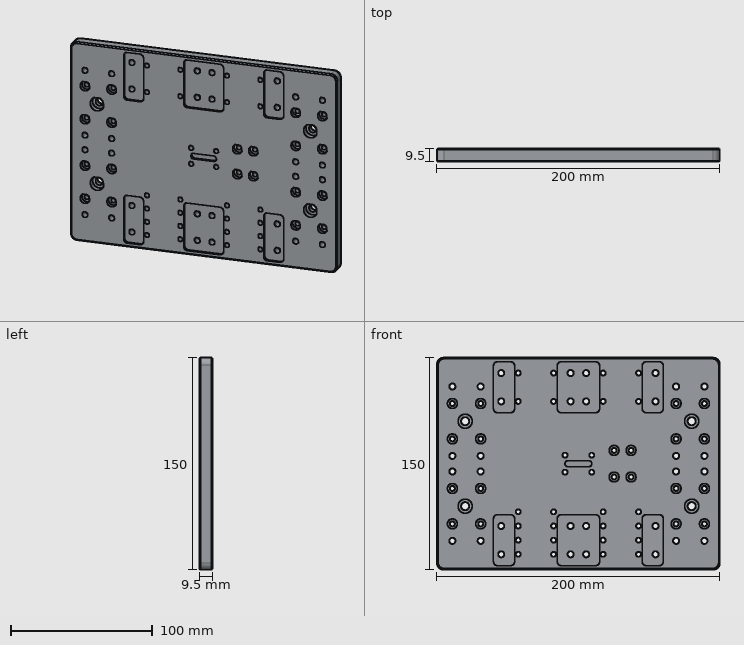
import cadquery as cq

length = 200.0
thickness = 9.5
height = 150.0
corner_radius = 5.0
edge_chamfer = 1.0

small_hole = 3.5
medium_hole = 4.2
mount_hole = 5.5
screw_head = 7.0
mount_head = 10.0
screw_head_depth = 3.5
mount_head_depth = 5.0

pocket_height = 36.0
pocket_center_z = 54.0
pocket_radius = 3.0
pocket_depth = 2.0
center_pocket_width = 30.0
side_pocket_width = 15.0
side_pocket_inner_x = 45.0
side_pocket_x = side_pocket_inner_x + side_pocket_width / 2

slot_length = 19.0
slot_width = 4.2
slot_depth = 2.0
slot_hole_x = 9.5
slot_hole_z = 6.0

inner_pair = 11.0
middle_pair = 35.0
wide_pair = 85.0
outer_pair = 109.0

outer_column_x = 89.0
inner_column_x = 69.0
mount_x = 80.0
side_pocket_hole_x = outer_pair / 2
center_pocket_hole_x = inner_pair / 2
inner_row_x = middle_pair / 2
outer_row_x = wide_pair / 2

mount_z = 30.0
column_hole_z = (inner_pair / 2, outer_pair / 2)
column_screw_z = (middle_pair / 2, wide_pair / 2)
pocket_hole_z = (44.0, 64.0)
row_pitch = 10.0
lower_row_count = 4

cluster_x = (25.2, 37.2)
cluster_z = 9.5


def mirrored(values):
    """Each distance on both sides of zero."""
    return [side * value for value in values for side in (-1, 1)]


def grid(x_values, z_values):
    """Every combination of the given columns and rows."""
    return [(x, z) for x in x_values for z in z_values]


front = cq.Workplane("XZ").workplane(offset=thickness / 2)


def holes(diameter, points, depth=thickness):
    """Cylinders running back from the front face; right through the plate by default."""
    return front.pushPoints(points).circle(diameter / 2).extrude(-depth)


def pocket(width, x, z):
    block = front.center(x, z).rect(width, pocket_height).extrude(-pocket_depth)
    return block.edges("|Y").fillet(pocket_radius)


plate = (
    front.rect(length, height)
    .extrude(-thickness)
    .edges("|Y")
    .fillet(corner_radius)
    .faces("<Y or >Y")
    .chamfer(edge_chamfer)
)

for z in mirrored([pocket_center_z]):
    plate = plate.cut(pocket(center_pocket_width, 0, z))
    for x in mirrored([side_pocket_x]):
        plate = plate.cut(pocket(side_pocket_width, x, z))
plate = plate.cut(front.slot2D(slot_length, slot_width).extrude(-slot_depth))

columns_x = mirrored([outer_column_x, inner_column_x])
pocket_holes_x = mirrored([side_pocket_hole_x, center_pocket_hole_x])
medium_points = grid(columns_x, mirrored(column_hole_z))
medium_points += grid(pocket_holes_x, mirrored(pocket_hole_z))
plate = plate.cut(holes(medium_hole, medium_points))

lowest_row_z = -max(pocket_hole_z)
lower_rows_z = [lowest_row_z + i * row_pitch for i in range(lower_row_count)]
rows_x = mirrored([inner_row_x, outer_row_x])
small_points = grid(rows_x, list(pocket_hole_z) + lower_rows_z)
small_points += grid(mirrored([slot_hole_x]), mirrored([slot_hole_z]))
plate = plate.cut(holes(small_hole, small_points))

screw_points = grid(columns_x, mirrored(column_screw_z))
screw_points += grid(cluster_x, mirrored([cluster_z]))
plate = plate.cut(holes(small_hole, screw_points))
plate = plate.cut(holes(screw_head, screw_points, screw_head_depth))

mount_points = grid(mirrored([mount_x]), mirrored([mount_z]))
plate = plate.cut(holes(mount_hole, mount_points))
plate = plate.cut(holes(mount_head, mount_points, mount_head_depth))

result = plate